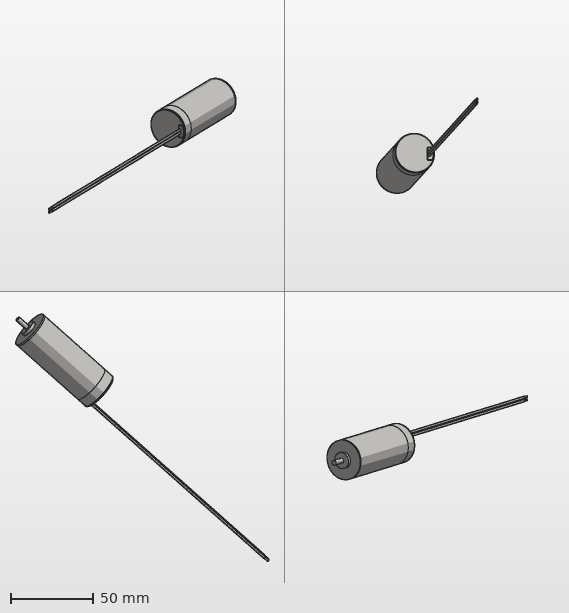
import cadquery as cq

motor_diameter = 24.5
motor_length = 59.0
plate_thickness = 1.0
cap_length = 7.5
rear_edge_chamfer = 0.5

boss_diameter = 10.0
boss_height = 2.0
shaft_diameter = 3.0
shaft_reach = 10.0

grommet_width = 8.3
grommet_inner_x = 7.7
grommet_outer_diameter = 23.5
grommet_corner_radius = 0.9
grommet_edge_chamfer = 0.5

lead_count = 2
lead_spacing = 2.0
lead_inset = 1.14
lead_x = grommet_inner_x + lead_inset
insulation_diameter = 1.6
core_diameter = 1.2
stripped_length = 3.0

overall_length = 219.0
rear_y = -motor_length
rear_plate_y = rear_y + plate_thickness
cap_joint_y = rear_y + cap_length
lead_tip_y = shaft_reach - overall_length
strip_y = lead_tip_y + stripped_length


def rod(diameter, y_start, y_end, x=0, z=0):
    """A cylinder along Y between two Y positions."""
    plane = cq.Workplane("XZ", origin=(x, y_end, z))
    return plane.circle(diameter / 2).extrude(y_end - y_start)


def lead_z(index):
    """Height of a lead, with the row of leads centred on Z = 0."""
    return (index - (lead_count - 1) / 2) * lead_spacing


def make_flange():
    """Front plate with its centring boss, bored for the shaft."""
    plate = rod(motor_diameter, -plate_thickness, 0)
    boss = rod(boss_diameter, 0, boss_height)
    bore = rod(shaft_diameter, -plate_thickness, boss_height)
    return plate.union(boss).cut(bore)


def make_shaft():
    return rod(shaft_diameter, -plate_thickness, shaft_reach)


def make_housing():
    return rod(motor_diameter, cap_joint_y, -plate_thickness)


def make_cap():
    return rod(motor_diameter, rear_plate_y, cap_joint_y)


def make_slot():
    """Space for the grommet: rounded toward the axis and open at the plate's rim."""
    length = motor_diameter / 2
    return (
        cq.Workplane("XZ", origin=(grommet_inner_x + length / 2, rear_plate_y, 0))
        .rect(length, grommet_width)
        .extrude(plate_thickness)
        .edges("|Y and <X")
        .fillet(grommet_corner_radius)
    )


def make_rear_plate():
    plate = rod(motor_diameter, rear_y, rear_plate_y)
    plate = plate.faces("<Y").chamfer(rear_edge_chamfer)
    return plate.cut(make_slot())


def make_grommet():
    """Insert filling the slot up to an arc just inside the rim, with a hole for each lead."""
    outer_bound = rod(grommet_outer_diameter, rear_y, rear_plate_y)
    grommet = make_slot().intersect(outer_bound)
    grommet = grommet.faces("<Y").chamfer(grommet_edge_chamfer)
    for index in range(lead_count):
        hole = rod(insulation_diameter, rear_y, rear_plate_y, lead_x, lead_z(index))
        grommet = grommet.cut(hole)
    return grommet


def make_insulation(index):
    """Sleeve of one lead, from the cap to where the end is stripped."""
    sleeve = rod(insulation_diameter, strip_y, rear_plate_y, lead_x, lead_z(index))
    bore = rod(core_diameter, strip_y, rear_plate_y, lead_x, lead_z(index))
    return sleeve.cut(bore)


def make_core(index):
    """Conductor of one lead, bare beyond the sleeve."""
    return rod(core_diameter, lead_tip_y, rear_plate_y, lead_x, lead_z(index))


flange = make_flange()
shaft = make_shaft()
housing = make_housing()
cap = make_cap()
rear_plate = make_rear_plate()
grommet = make_grommet()
insulations = [make_insulation(index).val() for index in range(lead_count)]
cores = [make_core(index).val() for index in range(lead_count)]

result = cq.Compound.makeCompound([
    flange.val(),
    shaft.val(),
    housing.val(),
    cap.val(),
    rear_plate.val(),
    grommet.val(),
    *insulations,
    *cores,
])